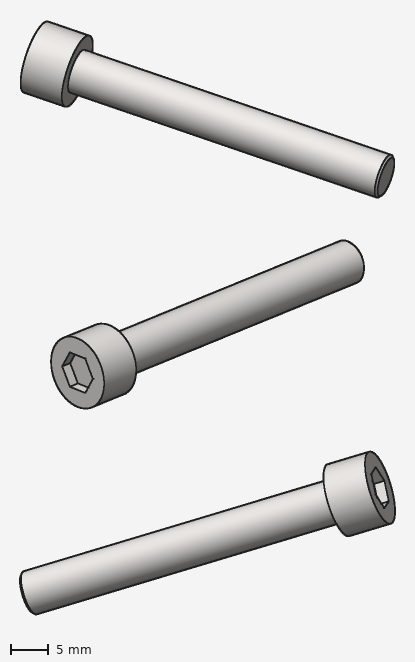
import cadquery as cq
import math

total_length = 51.0
head_diameter = 10.0
shank_diameter = 6.0
head_length = shank_diameter
tip_chamfer = 0.3
hex_across_flats = 5.0
hex_depth = shank_diameter / 4

hex_across_corners = hex_across_flats / math.cos(math.pi / 6)

head = cq.Workplane("YZ").circle(head_diameter / 2).extrude(head_length)

shank = (
    cq.Workplane("YZ")
    .circle(shank_diameter / 2)
    .extrude(total_length)
    .faces(">X")
    .chamfer(tip_chamfer)
)

hex_socket = cq.Workplane("YZ").polygon(6, hex_across_corners).extrude(hex_depth)

result = head.union(shank).cut(hex_socket)